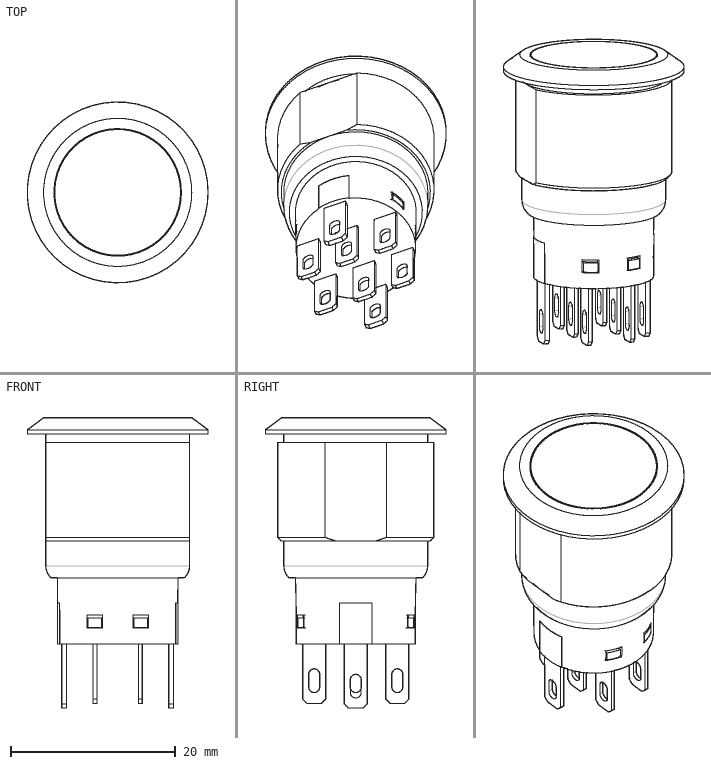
import cadquery as cq

TOP_Z = 35.3
BEZEL_CONE_Z = 33.8
BEZEL_BOTTOM_Z = 33.3
THREAD_TOP_Z = 32.3
THREAD_BOTTOM_Z = 20.3
SLEEVE_BOTTOM_Z = 15.8
BASE_BOTTOM_Z = 7.75

BEZEL_DIAMETER = 22.0
BEZEL_FACE_DIAMETER = 18
SLEEVE_DIAMETER = 17.5
THREAD_DIAMETER = 19.03
THREAD_CHAMFER = 0.45
FLATS_WIDTH = SLEEVE_DIAMETER
SLEEVE_ROUND_DROP = 1.5
SLEEVE_ROUND_DEPTH = 0.67
BASE_DIAMETER = 14.7
BASE_BOTTOM_DIAMETER = 14.55

CAP_GROOVE_DIAMETER = 15.5
CAP_GROOVE_WIDTH = 0.1
CAP_GROOVE_DEPTH = 0.2

PAD_WIDTH = 3.95
PAD_TOP_Z = 12.78

LATCH_X = 2.8
WINDOW_WIDTH = 1.9
WINDOW_BOTTOM_Z = 9.75
WINDOW_TOP_Z = 11.33
LATCH_SIDE_GAP = 0.15
LATCH_TOP_GAP = 0.35
LATCH_BOTTOM_GAP = 0.07
LATCH_CORE_DIAMETER = 13.3

TERMINAL_WIDTH = 2.82
TERMINAL_CHAMFER = 0.53
TERMINAL_SLOT_WIDTH = 1.3
TERMINAL_SLOT_LENGTH = 2.85
LONG_TERMINAL_X = 6.5
LONG_TERMINAL_THICKNESS = 0.6
SHORT_TERMINAL_X = 2.75
SHORT_TERMINAL_Y = 5.05
SHORT_TERMINAL_THICKNESS = 0.5
SHORT_TERMINAL_TIP_Z = 0.55
LONG_SLOT_Z = 1.25
SHORT_SLOT_Z = 1.9


def cylinder(diameter, bottom_z, top_z):
    return cq.Workplane("XY").workplane(offset=bottom_z).circle(diameter / 2).extrude(top_z - bottom_z)


def block(x, y, bottom_z, x_size, y_size, top_z):
    """Box centred on (x, y) between two heights."""
    return (
        cq.Workplane("XY", origin=(x, y, bottom_z))
        .rect(x_size, y_size)
        .extrude(top_z - bottom_z)
    )


def make_housing():
    """Bezel, sleeve with a rounded lower edge, and tapered base in one revolved profile."""
    sleeve_radius = SLEEVE_DIAMETER / 2
    round_top_z = SLEEVE_BOTTOM_Z + SLEEVE_ROUND_DROP
    return (
        cq.Workplane("XZ")
        .moveTo(0, TOP_Z)
        .lineTo(BEZEL_FACE_DIAMETER / 2, TOP_Z)
        .lineTo(BEZEL_DIAMETER / 2, BEZEL_CONE_Z)
        .lineTo(BEZEL_DIAMETER / 2, BEZEL_BOTTOM_Z)
        .lineTo(sleeve_radius, BEZEL_BOTTOM_Z)
        .lineTo(sleeve_radius, round_top_z)
        .tangentArcPoint((sleeve_radius - SLEEVE_ROUND_DEPTH, SLEEVE_BOTTOM_Z), relative=False)
        .lineTo(BASE_DIAMETER / 2, SLEEVE_BOTTOM_Z)
        .lineTo(BASE_BOTTOM_DIAMETER / 2, BASE_BOTTOM_Z)
        .lineTo(0, BASE_BOTTOM_Z)
        .close()
        .revolve(360, (0, 0, 0), (0, 1, 0))
    )


def make_thread():
    """Threaded band, chamfered below, with a flat on its -X and +X sides."""
    band = cylinder(THREAD_DIAMETER, THREAD_BOTTOM_Z, THREAD_TOP_Z).faces("<Z").chamfer(THREAD_CHAMFER)
    flats = block(0, 0, THREAD_BOTTOM_Z, FLATS_WIDTH, THREAD_DIAMETER, THREAD_TOP_Z)
    return band.intersect(flats)


def make_cap_groove():
    groove_bottom_z = TOP_Z - CAP_GROOVE_DEPTH
    cap_diameter = CAP_GROOVE_DIAMETER - 2 * CAP_GROOVE_WIDTH
    outer = cylinder(CAP_GROOVE_DIAMETER, groove_bottom_z, TOP_Z)
    return outer.cut(cylinder(cap_diameter, groove_bottom_z, TOP_Z))


def make_key_pads():
    """Straight-sided pads that stand out where the base tapers in."""
    pads = cylinder(BASE_DIAMETER, BASE_BOTTOM_Z, PAD_TOP_Z)
    return pads.intersect(block(0, 0, BASE_BOTTOM_Z, BASE_DIAMETER, PAD_WIDTH, PAD_TOP_Z))


def make_latch_gaps():
    """Gaps around each latch, as deep as the core inside the base."""
    latch_width = WINDOW_WIDTH - 2 * LATCH_SIDE_GAP
    latch_top_z = WINDOW_TOP_Z - LATCH_TOP_GAP
    gaps = cq.Workplane("XY")
    for x in (-LATCH_X, LATCH_X):
        window = block(x, 0, WINDOW_BOTTOM_Z, WINDOW_WIDTH, BASE_DIAMETER, WINDOW_TOP_Z)
        latch = block(x, 0, WINDOW_BOTTOM_Z + LATCH_BOTTOM_GAP, latch_width, BASE_DIAMETER, latch_top_z)
        gaps = gaps.add(window.cut(latch))
    return gaps.combine().cut(cylinder(LATCH_CORE_DIAMETER, WINDOW_BOTTOM_Z, WINDOW_TOP_Z))


def make_terminal(x, y, thickness, tip_z, slot_bottom_z):
    """Flat blade with chamfered tip corners and a rounded slot across its thickness."""
    blade = block(x, y, tip_z, thickness, TERMINAL_WIDTH, BASE_BOTTOM_Z)
    blade = blade.faces("<Z").edges("|X").chamfer(TERMINAL_CHAMFER)
    slot = (
        cq.Workplane("YZ", origin=(x, y, slot_bottom_z + TERMINAL_SLOT_LENGTH / 2))
        .slot2D(TERMINAL_SLOT_LENGTH, TERMINAL_SLOT_WIDTH, 90)
        .extrude(thickness, both=True)
    )
    return blade.cut(slot)


result = make_housing().union(make_thread()).union(make_key_pads())
result = result.cut(make_cap_groove()).cut(make_latch_gaps())

for x in (-LONG_TERMINAL_X, LONG_TERMINAL_X):
    result = result.union(make_terminal(x, 0, LONG_TERMINAL_THICKNESS, 0, LONG_SLOT_Z))

for x in (-SHORT_TERMINAL_X, SHORT_TERMINAL_X):
    for y in (-SHORT_TERMINAL_Y, 0, SHORT_TERMINAL_Y):
        terminal = make_terminal(x, y, SHORT_TERMINAL_THICKNESS, SHORT_TERMINAL_TIP_Z, SHORT_SLOT_Z)
        result = result.union(terminal)